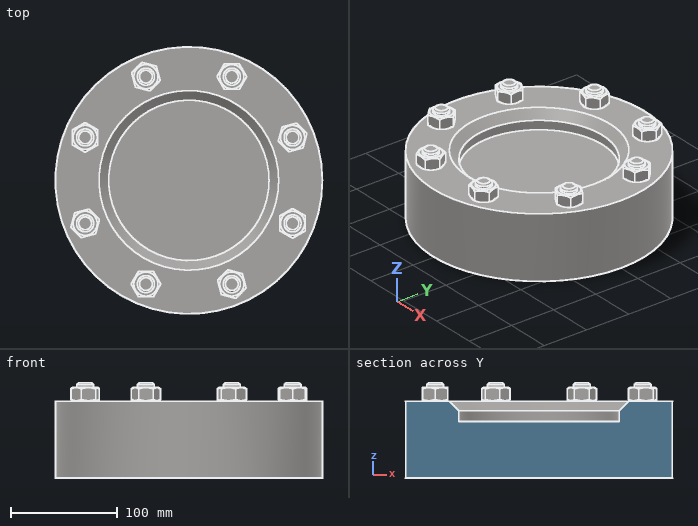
import cadquery as cq
import math

body_diameter = 250
total_height = 89.2
stud_projection = 17.2
body_height = total_height - stud_projection

recess_diameter = 150
recess_depth = 19.0
mouth_chamfer = 9.0

stud_count = 8
bolt_circle_diameter = 210
first_stud_angle = 180 / stud_count
stud_diameter = 16.0
stud_tip_chamfer = 2.0

nut_width = 24.0
nut_height = 13.0
nut_bevel_angle = 30
nut_bevel_diameter = 22.5
nut_turn = -67.5


def make_body():
    disc = cq.Workplane("XY").circle(body_diameter / 2).extrude(body_height)
    recess = (
        cq.Workplane("XY", origin=(0, 0, body_height))
        .circle(recess_diameter / 2)
        .extrude(-recess_depth)
    )
    mouth_cone = cq.Workplane(cq.Solid.makeCone(
        recess_diameter / 2,
        recess_diameter / 2 + mouth_chamfer,
        mouth_chamfer,
        pnt=cq.Vector(0, 0, body_height - mouth_chamfer),
    ))
    return disc.cut(recess).cut(mouth_cone)


def make_nut():
    """Hexagon nut standing on Z = 0, its corners bevelled at both ends."""
    corner_diameter = nut_width / math.cos(math.radians(30))
    hexagon = cq.Workplane("XY").polygon(6, corner_diameter).extrude(nut_height)

    end_radius = nut_bevel_diameter / 2
    corner_radius = corner_diameter / 2
    bevel_height = (corner_radius - end_radius) * math.tan(math.radians(nut_bevel_angle))
    bevelled_round = (
        cq.Workplane("XZ")
        .moveTo(0, 0)
        .lineTo(end_radius, 0)
        .lineTo(corner_radius, bevel_height)
        .lineTo(corner_radius, nut_height - bevel_height)
        .lineTo(end_radius, nut_height)
        .lineTo(0, nut_height)
        .close()
        .revolve(360, (0, 0, 0), (0, 1, 0))
    )
    return hexagon.intersect(bevelled_round)


def make_stud():
    """Stud end standing on Z = 0, chamfered at the tip."""
    stud_radius = stud_diameter / 2
    return (
        cq.Workplane("XZ")
        .moveTo(0, 0)
        .lineTo(stud_radius, 0)
        .lineTo(stud_radius, stud_projection - stud_tip_chamfer)
        .lineTo(stud_radius - stud_tip_chamfer, stud_projection)
        .lineTo(0, stud_projection)
        .close()
        .revolve(360, (0, 0, 0), (0, 1, 0))
    )


fastener = (
    make_nut()
    .union(make_stud())
    .rotate((0, 0, 0), (0, 0, 1), nut_turn)
    .translate((bolt_circle_diameter / 2, 0, body_height))
)

result = make_body()
for index in range(stud_count):
    angle = first_stud_angle + index * 360 / stud_count
    result = result.union(fastener.rotate((0, 0, 0), (0, 0, 1), angle))